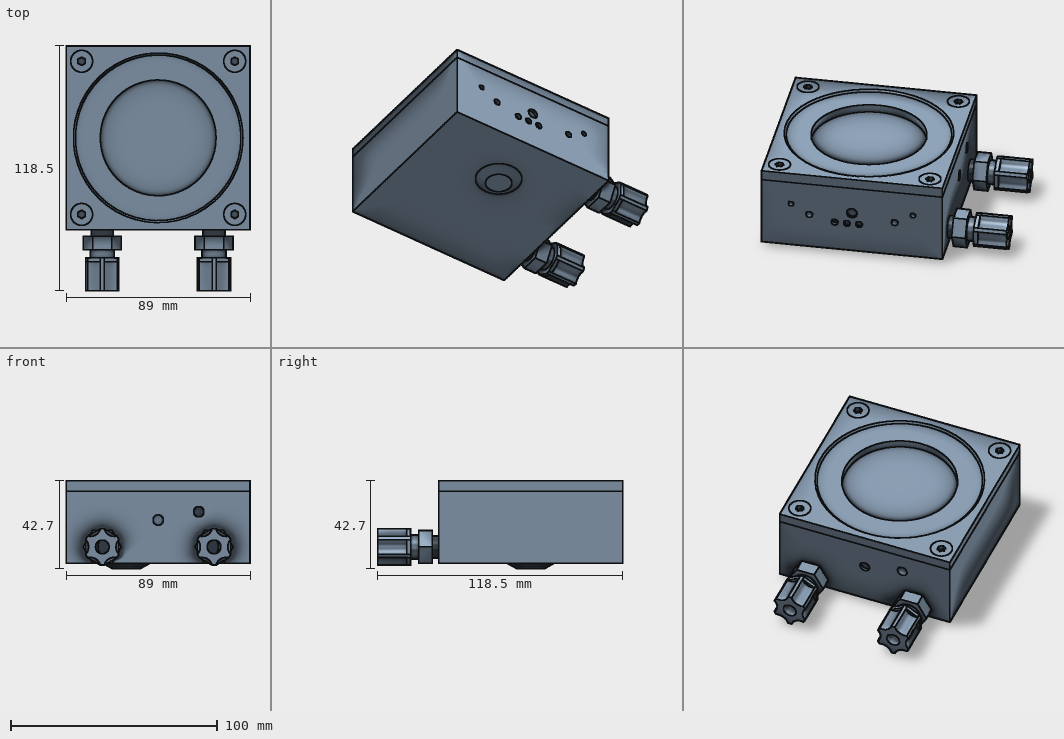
import cadquery as cq
import math

side = 89.0
half_side = side / 2
housing_height = 35.0
floor_thickness = 4.0

core_radius = 43.0

foot_x = -15.4
foot_base_radius = 11.2
foot_tip_radius = 6.4
foot_height = 2.66

cover_thickness = 5.0
cover_top = housing_height + cover_thickness
window_diameter = 56.0
recess_diameter = 80.0
recess_depth = 1.0

screw_offset = 37.0
screw_head_diameter = 10.6
screw_shank_diameter = 6.0
screw_length = 16.0
socket_width = 3.5
socket_depth = 3.0
screw_head_height = (screw_head_diameter - screw_shank_diameter) / 2

drill_tip_angle = 118.0
large_hole_diameter = 5.0
medium_hole_diameter = 3.2
small_hole_diameter = 2.5
small_hole_depth = 8.0
front_holes = [(0.0, 21.0), (19.6, 25.0)]
side_large_hole = (0.0, 21.0)
side_medium_holes = [(8.5, 15.0), (2.5, 15.0), (-3.5, 15.0), (21.0, 18.0), (-21.0, 18.0)]
side_small_holes = [(30.0, 23.0), (-30.0, 23.0)]

fitting_offset = 27.0
fitting_z = 8.0
bore_diameter = 6.6
port_depth = 12.1
stem_diameter = 10.8
stem_length = 3.0
hex_width = 16.0
half_hex_turn = 30
hex_length = 6.7
neck_diameter = 11.7
neck_length = 3.8
nut_length = 16.0
nut_radius = 8.8
collar_length = 2.0
lobe_count = 6
lobe_pitch = 360 / lobe_count
lobe_half_width = 0.95
lobe_half_angle = math.degrees(math.asin(lobe_half_width / nut_radius))
groove_floor_radius = 6.6
hex_start = stem_length
neck_start = hex_start + hex_length
nut_start = neck_start + neck_length
grip_start = nut_start + collar_length
fitting_length = nut_start + nut_length


def drill(diameter, depth):
    """Drill along +Y from the XZ plane, with a conical tip beyond its full depth."""
    radius = diameter / 2
    tip = radius / math.tan(math.radians(drill_tip_angle / 2))
    profile = [(0, 0), (radius, 0), (radius, depth), (0, depth + tip)]
    return cq.Workplane("XY").polyline(profile).close().revolve(360, (0, 0, 0), (0, 1, 0))


def front_drill(x, z, diameter, depth):
    return drill(diameter, depth).translate((x, -half_side, z))


def side_drill(y, z, diameter, depth):
    turned = drill(diameter, depth).rotate((0, 0, 0), (0, 0, 1), -90)
    return turned.translate((-half_side, y, z))


def depth_past_core(offset, diameter):
    """Depth that takes a whole hole through the wall, at an offset from the middle of the side."""
    wall = half_side - math.sqrt(core_radius**2 - offset**2)
    return wall + diameter


def screw_body():
    """Countersunk screw without its socket, with its top face at Z = 0."""
    head_radius = screw_head_diameter / 2
    shank_radius = screw_shank_diameter / 2
    neck_z = -screw_head_height
    points = [
        (0, 0), (head_radius, 0), (shank_radius, neck_z),
        (shank_radius, -screw_length), (0, -screw_length),
    ]
    return cq.Workplane("XZ").polyline(points).close().revolve(360, (0, 0, 0), (0, 1, 0))


screw_spots = [
    (x, y, cover_top)
    for x in (-screw_offset, screw_offset)
    for y in (-screw_offset, screw_offset)
]


def make_housing():
    body = cq.Workplane("XY").box(side, side, housing_height, centered=(True, True, False))
    foot = cq.Workplane("XZ").polyline([
        (0, 0), (foot_base_radius, 0), (foot_tip_radius, -foot_height), (0, -foot_height),
    ]).close().revolve(360, (0, 0, 0), (0, 1, 0))
    body = body.union(foot.translate((foot_x, 0, 0)))
    for x, z in front_holes:
        body = body.cut(front_drill(x, z, large_hole_diameter, depth_past_core(x, large_hole_diameter)))
    for x in (-fitting_offset, fitting_offset):
        body = body.cut(front_drill(x, fitting_z, bore_diameter, port_depth))
    y, z = side_large_hole
    body = body.cut(side_drill(y, z, large_hole_diameter, depth_past_core(y, large_hole_diameter)))
    for y, z in side_medium_holes:
        body = body.cut(side_drill(y, z, medium_hole_diameter, depth_past_core(y, medium_hole_diameter)))
    for y, z in side_small_holes:
        body = body.cut(side_drill(y, z, small_hole_diameter, small_hole_depth))
    for spot in screw_spots:
        body = body.cut(screw_body().translate(spot))
    return body.cut(make_core())


def make_core():
    height = housing_height - floor_thickness
    return cq.Workplane("XY").workplane(offset=floor_thickness).circle(core_radius).extrude(height)


def make_cover():
    """Square plate with a round window and a shallow recess whose rim slopes at 45 degrees."""
    plate = cq.Workplane("XY").workplane(offset=housing_height).rect(side, side).extrude(cover_thickness)
    window = cq.Workplane("XY").workplane(offset=housing_height)
    window = window.circle(window_diameter / 2).extrude(cover_thickness)
    floor_radius = recess_diameter / 2
    floor_centre = cq.Vector(0, 0, cover_top - recess_depth)
    recess = cq.Solid.makeCone(floor_radius, floor_radius + recess_depth, recess_depth, floor_centre)
    plate = plate.cut(window).cut(cq.Workplane(recess))
    for spot in screw_spots:
        plate = plate.cut(screw_body().translate(spot))
    return plate


def make_screw():
    socket = cq.Workplane("XY").polygon(6, socket_width, circumscribed=True).extrude(-socket_depth)
    return screw_body().cut(socket)


def polar(radius, angle):
    return (radius * math.cos(math.radians(angle)), radius * math.sin(math.radians(angle)))


def section(start):
    """Cross-section plane of a fitting, at a distance out from the wall."""
    return cq.Workplane("XZ").workplane(offset=start)


def nut_outline(start, grooved):
    """Six rounded lobes joined by straight flats, or by hollow grooves."""
    outline = section(start).moveTo(*polar(nut_radius, lobe_pitch / 2 - lobe_half_angle))
    for lobe in range(lobe_count):
        middle = (lobe + 0.5) * lobe_pitch
        lobe_end = middle + lobe_half_angle
        next_start = middle + lobe_pitch - lobe_half_angle
        outline = outline.threePointArc(polar(nut_radius, middle), polar(nut_radius, lobe_end))
        if grooved:
            floor = polar(groove_floor_radius, middle + lobe_pitch / 2)
            outline = outline.threePointArc(floor, polar(nut_radius, next_start))
        else:
            outline = outline.lineTo(*polar(nut_radius, next_start))
    return outline.close()


def make_fitting():
    """Fitting pointing along -Y, with a hex whose corners face sideways."""
    stem = section(0).circle(stem_diameter / 2).extrude(stem_length)
    hexagon = section(hex_start).polygon(6, hex_width, circumscribed=True).extrude(hex_length)
    hexagon = hexagon.rotate((0, 0, 0), (0, 1, 0), half_hex_turn)
    neck = section(neck_start).circle(neck_diameter / 2).extrude(neck_length)
    collar = nut_outline(nut_start, grooved=False).extrude(collar_length)
    grip = nut_outline(grip_start, grooved=True).extrude(nut_length - collar_length)
    bore = section(0).circle(bore_diameter / 2).extrude(fitting_length)
    return stem.union(hexagon).union(neck).union(collar).union(grip).cut(bore)


housing = make_housing()
core = make_core()
cover = make_cover()
screws = [make_screw().translate(spot) for spot in screw_spots]
fittings = [make_fitting().translate((x, -half_side, fitting_z)) for x in (-fitting_offset, fitting_offset)]

bodies = [housing, core, cover, *screws, *fittings]
result = cq.Compound.makeCompound([body.val() for body in bodies])